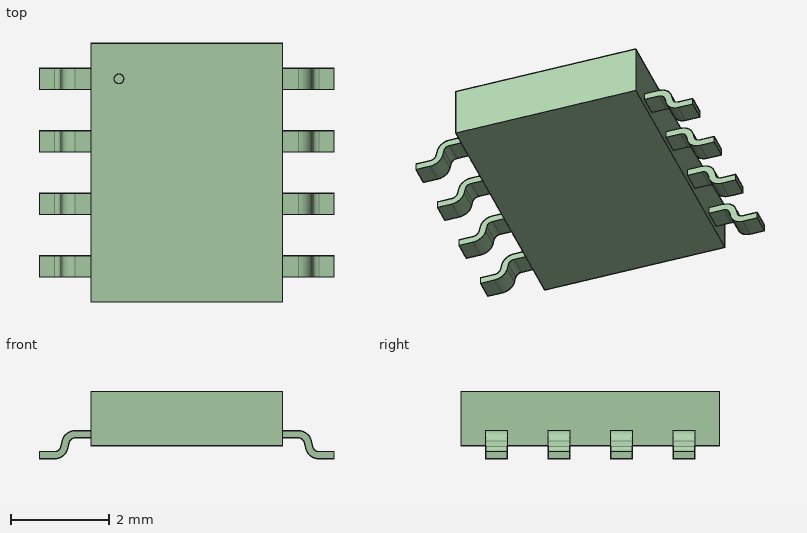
import cadquery as cq
import math

overall_length = 5.99
overall_height = 1.37

housing_length = 3.9
housing_width = 5.26
housing_height = 1.11
housing_bottom = overall_height - housing_height

leads_per_side = 4
lead_pitch = 1.27
lead_width = 0.44
lead_thickness = 0.15
lead_top = 0.575
foot_length = 0.31
inner_bend_radius = 0.125
bend_angle = math.radians(77)
outer_bend_radius = inner_bend_radius + lead_thickness
lead_tip = overall_length / 2
housing_face = housing_length / 2
first_lead_y = -lead_pitch * (leads_per_side - 1) / 2
last_lead_y = -first_lead_y

mark_diameter = 0.2
mark_depth = 0.05
mark_x = -1.38
mark_y = last_lead_y


def make_mark():
    """Disc in line with the last lead along Y; its top is level with the housing top."""
    return (
        cq.Workplane("XY", origin=(mark_x, mark_y, overall_height - mark_depth))
        .circle(mark_diameter / 2)
        .extrude(mark_depth)
    )


def make_housing(mark):
    """Plain rectangular block with a recess that fits the mark."""
    block = cq.Workplane("XY", origin=(0, 0, housing_bottom)).box(
        housing_length, housing_width, housing_height, centered=(True, True, False)
    )
    return block.cut(mark)


def lead_profile():
    """S-shaped side outline of a lead on the -X side, from foot tip to housing face."""
    foot_end = foot_length - lead_tip
    foot_bend_z = lead_thickness + inner_bend_radius
    shoulder_bend_z = lead_top - outer_bend_radius

    rise = lead_top - lead_thickness
    radius_sum = inner_bend_radius + outer_bend_radius
    slope_length = (rise - radius_sum * (1 - math.cos(bend_angle))) / math.sin(bend_angle)
    run = radius_sum * math.sin(bend_angle) + slope_length * math.cos(bend_angle)
    shoulder_start = foot_end + run

    def foot_bend_point(radius, angle):
        return (foot_end + radius * math.sin(angle), foot_bend_z - radius * math.cos(angle))

    def shoulder_bend_point(radius, angle):
        return (shoulder_start - radius * math.sin(angle), shoulder_bend_z + radius * math.cos(angle))

    half_bend = bend_angle / 2
    return (
        cq.Workplane("XZ")
        .moveTo(-lead_tip, 0)
        .lineTo(*foot_bend_point(outer_bend_radius, 0))
        .threePointArc(
            foot_bend_point(outer_bend_radius, half_bend),
            foot_bend_point(outer_bend_radius, bend_angle),
        )
        .lineTo(*shoulder_bend_point(inner_bend_radius, bend_angle))
        .threePointArc(
            shoulder_bend_point(inner_bend_radius, half_bend),
            shoulder_bend_point(inner_bend_radius, 0),
        )
        .lineTo(-housing_face, lead_top - lead_thickness)
        .lineTo(-housing_face, lead_top)
        .lineTo(*shoulder_bend_point(outer_bend_radius, 0))
        .threePointArc(
            shoulder_bend_point(outer_bend_radius, half_bend),
            shoulder_bend_point(outer_bend_radius, bend_angle),
        )
        .lineTo(*foot_bend_point(inner_bend_radius, bend_angle))
        .threePointArc(
            foot_bend_point(inner_bend_radius, half_bend),
            foot_bend_point(inner_bend_radius, 0),
        )
        .lineTo(-lead_tip, lead_thickness)
        .close()
    )


def make_leads():
    """A matching pair of leads, one on each X side, at every pitch position."""
    left_lead = lead_profile().extrude(lead_width / 2, both=True)
    right_lead = left_lead.mirror("YZ")
    leads = []
    for index in range(leads_per_side):
        lead_y = first_lead_y + index * lead_pitch
        for lead in (left_lead, right_lead):
            leads.append(lead.translate((0, lead_y, 0)).val())
    return leads


pin_one_mark = make_mark()
housing = make_housing(pin_one_mark)
leads = make_leads()

result = cq.Compound.makeCompound([housing.val(), pin_one_mark.val(), *leads])